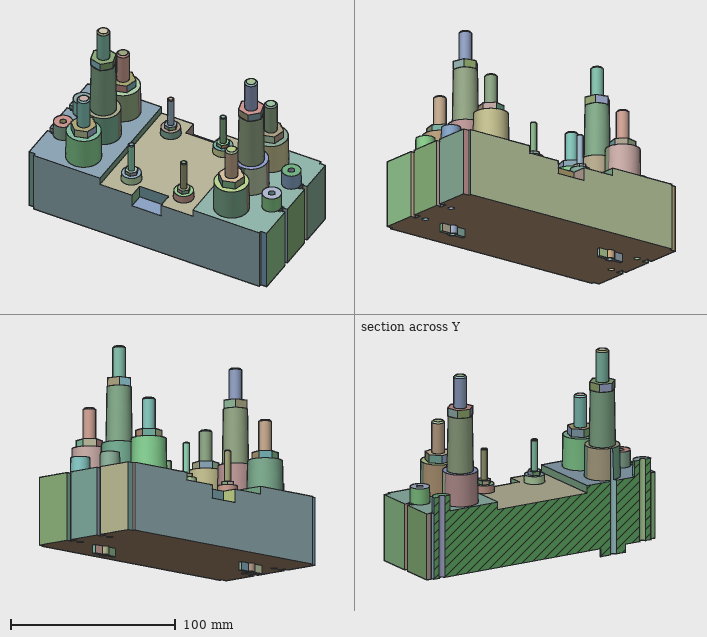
import cadquery as cq
import math

length = 164.0
width = 78.0
block_height = 41.8
pocket_length = 64.1
pocket_depth = 4.8
side_notch_length = 20.0
side_notch_inset = 9.8
side_notch_depth = 8.2
end_relief_depth = 4.1
corner_relief_width = 1.8
end_slot_width = 3.0
end_slot_inner_width = 4.6
end_slot_mouth_depth = 3.0

pitch = 25.0
half_pitch = pitch / 2
power_x = 51.0
signal_x = 18.0
post_x = 72.0
wall_draft = 1.0

boss_radius = 11.0
boss_height = 20.0
sleeve_radius = 8.0
sleeve_height = 35.0
nut_flats = 14.0
nut_height = 5.1
nut_turn = 15.0
stud_radius = 4.0
stud_height = 20.0
stud_chamfer = 1.0

signal_base_radius = 6.4
signal_base_draft = 5.0
signal_nut_flats = 7.0
signal_nut_height = 2.5
pin_radius = 2.0
pin_height = 19.5
pin_chamfer = 0.5

post_radius = 6.0
post_height = 10.0
bore_diameter = 4.0
lug_length = 17.7
lug_thickness = 2.3
lug_radius = 3.0
lug_height = 5.1

block_top = block_height
pocket_floor = block_top - pocket_depth
boss_top = block_top + boss_height


def cone(x, y, z, radius, height, draft=0.0):
    """Round boss standing on z, narrowing upwards by the draft angle in degrees."""
    return cq.Workplane("XY", origin=(x, y, z)).circle(radius).extrude(height, taper=draft)


def hex_nut(x, y, z, flats, height, turn):
    """Hexagonal nut given across flats, turned about its axis in degrees."""
    corners = flats / math.cos(math.pi / 6)
    nut = cq.Workplane("XY").polygon(6, corners).extrude(height)
    return nut.rotate((0, 0, 0), (0, 0, 1), turn).translate((x, y, z))


def stud(x, y, z, radius, height, chamfer):
    return cone(x, y, z, radius, height).faces(">Z").chamfer(chamfer)


def end_slot(side, y):
    """T-shaped slot in an end face: a narrow mouth opening into a wider inner channel."""
    channel_depth = end_relief_depth - end_slot_mouth_depth
    mouth_x = side * (length - end_relief_depth) / 2
    channel_x = side * (length / 2 - end_relief_depth + channel_depth / 2)
    mouth = cq.Workplane("XY", origin=(mouth_x, y, 0)).rect(end_relief_depth, end_slot_width)
    channel = cq.Workplane("XY", origin=(channel_x, y, 0)).rect(channel_depth, end_slot_inner_width)
    return mouth.extrude(block_height).union(channel.extrude(block_height))


def block():
    body = cq.Workplane("XY").box(length, width, block_height, centered=(True, True, False))
    pocket = cq.Workplane("XY").box(pocket_length, width, pocket_depth, centered=(True, True, False))
    body = body.cut(pocket.translate((0, 0, pocket_floor)))
    side_notches = (
        cq.Workplane("XY", origin=(0, 0, pocket_floor))
        .pushPoints([(0, side * (width - side_notch_inset) / 2) for side in (-1, 1)])
        .rect(side_notch_length, side_notch_inset)
        .extrude(-side_notch_depth)
    )
    corner_reliefs = (
        cq.Workplane("XY")
        .rect(length, width, forConstruction=True)
        .vertices()
        .rect(2 * end_relief_depth, 2 * corner_relief_width)
        .extrude(block_height)
    )
    body = body.cut(side_notches).cut(corner_reliefs)
    for side in (-1, 1):
        for y in (-half_pitch, half_pitch):
            body = body.cut(end_slot(side, y))
    return body


def fastener(x, y, z, turn):
    """Hex nut on a power terminal with its stud standing on top."""
    nut = hex_nut(x, y, z, nut_flats, nut_height, turn)
    return nut.union(stud(x, y, z + nut_height, stud_radius, stud_height, stud_chamfer))


def power_terminal(x, y):
    boss = cone(x, y, block_top, boss_radius, boss_height, wall_draft)
    return boss.union(fastener(x, y, boss_top, nut_turn))


def tall_power_terminal(x, y):
    """Power terminal raised on a slender tapered sleeve."""
    boss = cone(x, y, block_top, boss_radius, boss_height, wall_draft)
    sleeve = cone(x, y, boss_top, sleeve_radius, sleeve_height, wall_draft)
    return boss.union(sleeve).union(fastener(x, y, boss_top + sleeve_height, -nut_turn))


def signal_terminal(x, y):
    terminal = cone(x, y, pocket_floor, signal_base_radius, pocket_depth, signal_base_draft)
    terminal = terminal.union(hex_nut(x, y, block_top, signal_nut_flats, signal_nut_height, -nut_turn))
    pin_z = block_top + signal_nut_height
    return terminal.union(stud(x, y, pin_z, pin_radius, pin_height, pin_chamfer))


def bottom_lug(x, y):
    """Flat bar with a round hub at its middle, hanging below the block."""
    base = cq.Workplane("XY", origin=(x, y, 0))
    bar = base.rect(lug_length, lug_thickness).extrude(-lug_height)
    return bar.union(base.circle(lug_radius).extrude(-lug_height))


lug_places = [(-power_x, half_pitch), (power_x, -half_pitch)]
post_places = [(sx * post_x, sy * half_pitch) for sx in (-1, 1) for sy in (-1, 1)]

result = block()
for side in (-1, 1):
    result = result.union(tall_power_terminal(side * power_x, 0))
    for row in (-pitch, pitch):
        result = result.union(power_terminal(side * power_x, row))
        result = result.union(signal_terminal(side * signal_x, row))
for x, y in post_places:
    result = result.union(cone(x, y, block_top, post_radius, post_height, wall_draft))
for x, y in lug_places:
    result = result.union(bottom_lug(x, y))

bores = (
    cq.Workplane("XY", origin=(0, 0, -lug_height))
    .pushPoints(post_places + lug_places)
    .circle(bore_diameter / 2)
    .extrude(lug_height + boss_top)
)
result = result.cut(bores)